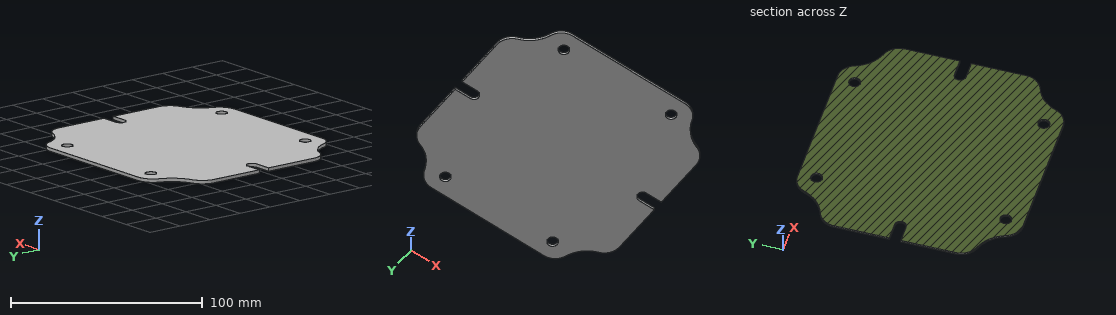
import cadquery as cq
import math

length = 130.0
width = 123.0
thickness = 2.0

scallop_radius = 20.0
blend_radius = 10.0

hole_diameter = 6.0
hole_spacing_x = 70.0
hole_spacing_y = 103.0

slot_width = 6.0
slot_depth = 13.0


def scalloped_corner():
    """Cutter for the corner at +X +Y, reaching inward from that corner."""
    center_distance = scallop_radius + blend_radius
    edge_tangent = math.sqrt(center_distance**2 - blend_radius**2)
    blend_angle = math.atan2(edge_tangent, blend_radius)
    joint_near = scallop_radius * math.cos(blend_angle)
    joint_far = scallop_radius * math.sin(blend_angle)
    scallop_middle = scallop_radius / math.sqrt(2)
    middle_angle = math.pi + blend_angle / 2
    middle_near = blend_radius + blend_radius * math.cos(middle_angle)
    middle_far = edge_tangent + blend_radius * math.sin(middle_angle)
    return (
        cq.Workplane("XY")
        .lineTo(0, -edge_tangent)
        .threePointArc((-middle_near, -middle_far), (-joint_near, -joint_far))
        .threePointArc((-scallop_middle, -scallop_middle), (-joint_far, -joint_near))
        .threePointArc((-middle_far, -middle_near), (-edge_tangent, 0))
        .close()
        .extrude(thickness)
        .translate((length / 2, width / 2, 0))
    )


def edge_slot():
    """Cutter for the round-ended slot that opens through the +X edge."""
    cutter_length = slot_depth + slot_width
    return (
        cq.Workplane("XY")
        .center(length / 2 - slot_depth + cutter_length / 2, 0)
        .slot2D(cutter_length, slot_width)
        .extrude(thickness)
    )


plate = cq.Workplane("XY").rect(length, width).extrude(thickness)

corner = scalloped_corner()
corner_pair = corner.union(corner.mirror("YZ"))
plate = plate.cut(corner_pair).cut(corner_pair.mirror("XZ"))

slot = edge_slot()
plate = plate.cut(slot).cut(slot.mirror("YZ"))

holes = (
    cq.Workplane("XY")
    .rect(hole_spacing_x, hole_spacing_y, forConstruction=True)
    .vertices()
    .circle(hole_diameter / 2)
    .extrude(thickness)
)
result = plate.cut(holes)